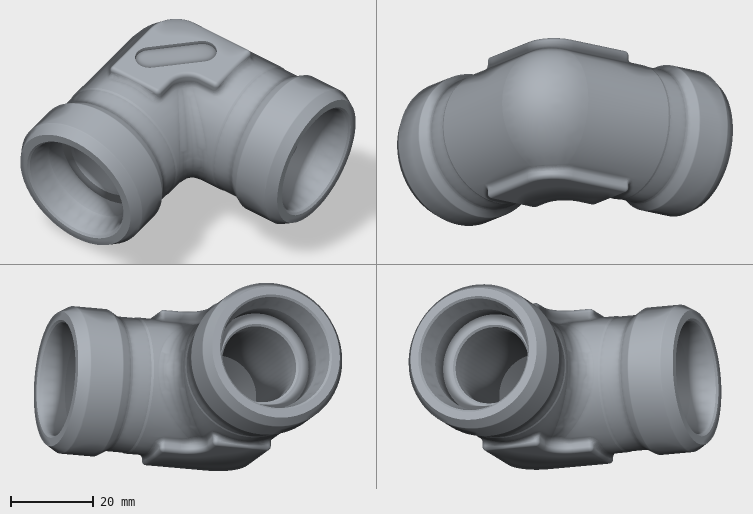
import cadquery as cq
import math

arm_length = 42.0
body_radius = 16.6
body_end = 22.55
outer_bend_radius = 15.0
barrel_offset = body_radius - outer_bend_radius
inner_bend_radius = 4.8

neck_radius = 16.45
step_length = 0.6
head_radius = 18.0
head_slope_angle = math.radians(30)
head_slope_length = (head_radius - neck_radius) / math.tan(head_slope_angle)
head_start = 30.9
neck_end = head_start - head_slope_length
head_end = arm_length - head_slope_length
neck_fillet_radius = 1.2
head_edge_radius = 0.6

bore_radius = 19.0 / 2
bore_edge_break = 0.5
drill_half_angle = math.radians(60)
drill_tip_depth = bore_radius / math.tan(drill_half_angle)
tube_radius = 12.6
tube_stop_depth = 12.0
seat_mouth_radius = 13.9
seat_half_angle = math.radians(12)
mouth_chamfer = 0.5
seat_depth = mouth_chamfer + (seat_mouth_radius - tube_radius) / math.tan(seat_half_angle)

pad_height = 17.9
pad_half_width = 7.45
pad_end = 17.6
pad_outer_radius = 7.8
pad_inner_radius = 5.05
pad_edge_radius = 1.0
pad_foot_radius = 1.2

panel_radius = 3.55
panel_spacing = 12.95
panel_centre = (3.25, -4.45)
panel_angle = 45
panel_depth = 1.0

select_margin = 0.05


def on_both_arms(solid):
    """Return the X-arm solid together with its copy turned onto the -Y arm."""
    return solid, solid.rotate((0, 0, 0), (1, -1, 0), 180)


def nearest_to(x, y):
    """Select the edge nearest a point in the plane of the arm axes."""
    return cq.selectors.NearestToPointSelector((x, y, 0))


def ring_at(x):
    """Select the circle around the X axis at the given distance along it."""
    return cq.selectors.BoxSelector((x - select_margin, -0.6, -0.6), (x + select_margin, 0.6, 0.6))


def revolve_about_x(points):
    return cq.Workplane("XY").polyline(points).close().revolve(360, (0, 0, 0), (1, 0, 0))


def make_bend():
    """Two crossing cylinders joined on the outside by a barrel turned about an upright axis."""
    arm_plane = cq.Plane(origin=(-barrel_offset, 0, 0), xDir=(0, 0, 1), normal=(1, 0, 0))
    arm = cq.Workplane(arm_plane).circle(body_radius).extrude(barrel_offset + body_end)
    x_arm, y_arm = on_both_arms(arm)
    barrel_half_height = math.sqrt(body_radius**2 - barrel_offset**2)
    barrel = (
        cq.Workplane("XZ", origin=(-barrel_offset, barrel_offset, 0))
        .moveTo(0, -barrel_half_height)
        .threePointArc((outer_bend_radius, 0), (0, barrel_half_height))
        .close()
        .revolve(360, (0, 0, 0), (0, 1, 0))
    )
    return x_arm.union(y_arm).union(barrel)


def make_pads():
    """L-shaped block through the bend; only its top and bottom ends stand proud as pads."""
    w = pad_half_width
    end = pad_end
    pads = (
        cq.Workplane("XY")
        .polyline([(-w, w), (end, w), (end, -w), (w, -w), (w, -end), (-w, -end)])
        .close()
        .extrude(pad_height, both=True)
    )
    pads = pads.edges(nearest_to(-w, w)).fillet(pad_outer_radius)
    pads = pads.edges(nearest_to(w, -w)).fillet(pad_inner_radius)
    rounded_edges = pads.faces("|Z").edges()
    for x, y in ((end, w), (end, -w), (w, -end), (-w, -end)):
        rounded_edges = rounded_edges.add(pads.edges(nearest_to(x, y)))
    return rounded_edges.fillet(pad_edge_radius)


def fillet_inner_bend(body):
    return body.edges(nearest_to(body_radius, -body_radius)).fillet(inner_bend_radius)


def fillet_pad_feet(body):
    """Round the closed seams where the pad walls rise from the bend."""
    reach = pad_end + select_margin
    low = math.sqrt(body_radius**2 - (pad_half_width + pad_edge_radius) ** 2)
    high = pad_height - pad_edge_radius + select_margin
    upper_walls = cq.selectors.BoxSelector((-reach, -reach, low), (reach, reach, high))
    lower_walls = cq.selectors.BoxSelector((-reach, -reach, -high), (reach, reach, -low))
    seams = upper_walls + lower_walls - cq.selectors.StringSyntaxSelector("|Z")
    return body.edges(seams).fillet(pad_foot_radius)


def make_connection():
    connection = revolve_about_x([
        (body_end, 0),
        (body_end, body_radius),
        (body_end + step_length, neck_radius),
        (neck_end, neck_radius),
        (head_start, head_radius),
        (head_end, head_radius),
        (arm_length, neck_radius),
        (arm_length, 0),
    ])
    connection = connection.edges(ring_at(neck_end)).fillet(neck_fillet_radius)
    return connection.edges(ring_at(head_start) + ring_at(head_end)).fillet(head_edge_radius)


def make_port():
    stop = arm_length - tube_stop_depth
    return revolve_about_x([
        (-drill_tip_depth, 0),
        (0, bore_radius),
        (stop - bore_edge_break, bore_radius),
        (stop, bore_radius + bore_edge_break),
        (stop, tube_radius),
        (arm_length - seat_depth, tube_radius),
        (arm_length - mouth_chamfer, seat_mouth_radius),
        (arm_length, seat_mouth_radius + mouth_chamfer),
        (arm_length, 0),
    ])


def make_panel():
    return (
        cq.Workplane("XY", origin=(*panel_centre, pad_height - panel_depth))
        .slot2D(panel_spacing + 2 * panel_radius, 2 * panel_radius, panel_angle)
        .extrude(2 * panel_depth)
    )


body = make_bend().union(make_pads())
body = fillet_inner_bend(body)
body = fillet_pad_feet(body)
for connection in on_both_arms(make_connection()):
    body = body.union(connection)
for port in on_both_arms(make_port()):
    body = body.cut(port)
result = body.cut(make_panel())